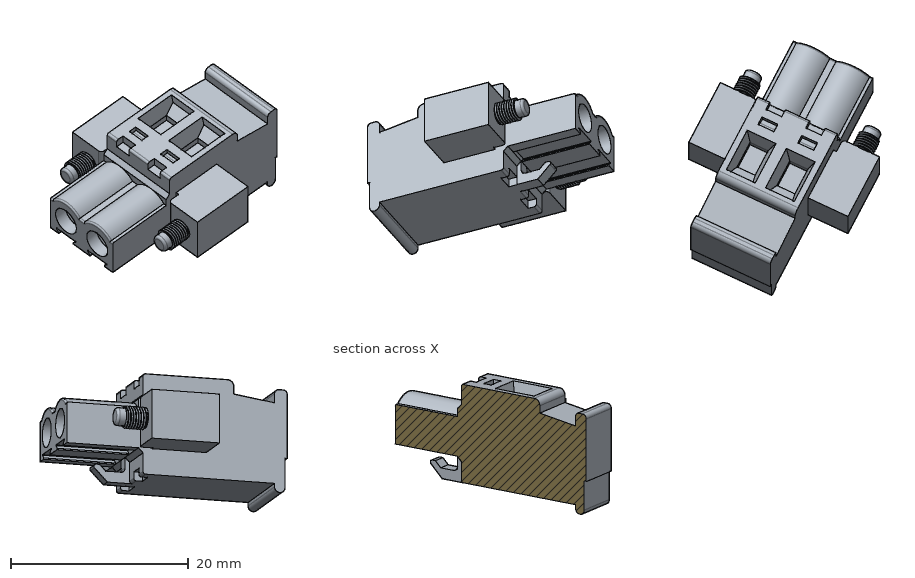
import cadquery as cq


LENGTH = 26.0
OVERALL_WIDTH = 20.0
HEIGHT = 12.6
POLE_PITCH = 5.0
BODY_WIDTH = 2 * POLE_PITCH
POLES = (-POLE_PITCH / 2, POLE_PITCH / 2)

SOCKET_LENGTH = 8.45
SOCKET_BOTTOM = 4.0
SOCKET_TOP = 9.65
SHOULDER_Z = 8.7
CONTACT_Z = 6.8
DOME_RADIUS = SOCKET_TOP - CONTACT_Z
SOCKET_EDGE_ROUND = 0.2
BORE_RADIUS = 1.66
BORE_DEPTH = 1.55
CONE_END_RADIUS = 0.78
CONE_DEPTH = 0.25

DOVETAIL_TOP_HALF = 1.53
DOVETAIL_MOUTH_HALF = 1.15
DOVETAIL_HEIGHT = 0.62
DOVETAIL_TOP_STRAIGHT = 0.08
DOVETAIL_MOUTH_STRAIGHT = 0.15

NECK_CHAMFER = 0.55
BODY_FRONT = SOCKET_LENGTH + NECK_CHAMFER
BODY_BOTTOM = 1.01
FRONT_EDGE_ROUND = 0.29
TOP_REAR = 19.7
TOP_REAR_ROUND = 0.75
SLOPE_HIGH_Z = 11.0
SLOPE_LOW_Z = 10.32
FLANGE_FRONT = 24.5
FLANGE_TOP = 11.88
FLANGE_TOP_ROUND = 0.52
FOOT_REAR = LENGTH - 0.25
FOOT_RADIUS = (FOOT_REAR - FLANGE_FRONT) / 2

NOTCH_WIDTH = 1.98
NOTCH_DEPTH = 1.01

FUNNEL_INNER_X = 0.65
FUNNEL_OUTER_X = 4.26
FUNNEL_FRONT = 13.18
FUNNEL_REAR = 18.43
FUNNEL_DEPTH = 1.82
FUNNEL_STEEP_DEPTH = 0.9
FUNNEL_STEEP_RUN = 0.08
WELL_WIDTH = 2.25
WELL_FRONT = 13.75
WELL_REAR = 17.03
WELL_DEPTH = 0.78

TEST_SLOT_WIDTH = 1.98
TEST_SLOT_FRONT = 11.02
TEST_SLOT_REAR = 12.0
TEST_SLOT_RAMP_START = 11.62
TEST_SLOT_DEPTH = 0.5
TEST_SLOT_RAMP_DROP = 0.18
TEST_SLOT_DRAFT = 0.08

LATCH_LEFT = -1.53
LATCH_RIGHT = -0.03
LATCH_FLOOR_Z = 2.25
LATCH_ROOT_ROUND = 0.52
LATCH_HEEL = 6.37
LATCH_RISE_START = 6.2
LATCH_TIP_Z = 3.0
LATCH_TIP_ROUND = 0.25

EAR_OUTER_X = OVERALL_WIDTH / 2
EAR_REAR = 16.43
EAR_GAP = 0.4
EAR_GAP_END = 10.04
EAR_INNER_ROUND = 0.47

SCREW_X = 7.5
THREAD_RADIUS = 1.27
THREAD_ROOT_RADIUS = 1.07
THREAD_TURNS = 8.4
THREAD_RIDGE_WIDTH = 0.25
THREAD_RIDGE_OVERLAP = 0.03
THREAD_END = 5.93
THREAD_PITCH = (SOCKET_LENGTH - THREAD_END) / THREAD_TURNS
SCREW_TIP_RADIUS = 1.01
SCREW_TIP_END = 4.9
SCREW_TIP_ROUND = 0.3


def box(x0, x1, y0, y1, z0, z1):
    return cq.Workplane("XY").box(x1 - x0, y1 - y0, z1 - z0, centered=False).translate((x0, y0, z0))


def extrude_along_x(outline, x0, x1):
    """Solid from an outline drawn in (Y, Z) on the YZ plane."""
    return outline.close().extrude(x1 - x0).translate((x0, 0, 0))


def extrude_along_y(outline, y0, y1):
    """Solid from an outline drawn in (X, Z)."""
    return outline.close().extrude(-(y1 - y0)).translate((0, y0, 0))


def main_body():
    outline = (
        cq.Workplane("YZ")
        .moveTo(SOCKET_LENGTH, SOCKET_BOTTOM)
        .lineTo(BODY_FRONT, SOCKET_BOTTOM - NECK_CHAMFER)
        .lineTo(BODY_FRONT, BODY_BOTTOM + FRONT_EDGE_ROUND)
        .radiusArc((BODY_FRONT + FRONT_EDGE_ROUND, BODY_BOTTOM), -FRONT_EDGE_ROUND)
        .lineTo(FLANGE_FRONT, BODY_BOTTOM)
        .lineTo(FLANGE_FRONT, FOOT_RADIUS)
        .threePointArc((FLANGE_FRONT + FOOT_RADIUS, 0), (FOOT_REAR, FOOT_RADIUS))
        .lineTo(FOOT_REAR, SOCKET_BOTTOM)
        .lineTo(LENGTH, SOCKET_BOTTOM)
        .lineTo(LENGTH, FLANGE_TOP - FLANGE_TOP_ROUND)
        .radiusArc((LENGTH - FLANGE_TOP_ROUND, FLANGE_TOP), -FLANGE_TOP_ROUND)
        .lineTo(FLANGE_FRONT + FLANGE_TOP_ROUND, FLANGE_TOP)
        .radiusArc((FLANGE_FRONT, FLANGE_TOP - FLANGE_TOP_ROUND), -FLANGE_TOP_ROUND)
        .lineTo(FLANGE_FRONT, SLOPE_LOW_Z)
        .lineTo(TOP_REAR, SLOPE_HIGH_Z)
        .lineTo(TOP_REAR, HEIGHT - TOP_REAR_ROUND)
        .radiusArc((TOP_REAR - TOP_REAR_ROUND, HEIGHT), -TOP_REAR_ROUND)
        .lineTo(BODY_FRONT + FRONT_EDGE_ROUND, HEIGHT)
        .radiusArc((BODY_FRONT, HEIGHT - FRONT_EDGE_ROUND), -FRONT_EDGE_ROUND)
        .lineTo(BODY_FRONT, SOCKET_TOP + NECK_CHAMFER)
        .lineTo(SOCKET_LENGTH, SOCKET_TOP)
    )
    return extrude_along_x(outline, -BODY_WIDTH / 2, BODY_WIDTH / 2)


def socket():
    """Rectangular base with one domed barrel over each contact, rounded along the front top edges."""
    base = box(-BODY_WIDTH / 2, BODY_WIDTH / 2, 0, SOCKET_LENGTH, SOCKET_BOTTOM, SHOULDER_Z)
    base = base.faces("<Y").edges(">Z").fillet(SOCKET_EDGE_ROUND)
    barrel = cq.Workplane("XZ").circle(DOME_RADIUS).extrude(-SOCKET_LENGTH)
    barrel = barrel.faces("<Y").edges().fillet(SOCKET_EDGE_ROUND)
    dome_space = box(
        -BODY_WIDTH / 2, BODY_WIDTH / 2, 0, SOCKET_LENGTH, SHOULDER_Z - SOCKET_EDGE_ROUND, SOCKET_TOP
    )
    for x in POLES:
        base = base.union(barrel.translate((x, 0, CONTACT_Z)).intersect(dome_space))
    return base


def contact_bore(x):
    """Round bore ending in a shallow cone with a flat centre."""
    cone_end = BORE_DEPTH + CONE_DEPTH
    profile = cq.Workplane("YZ").polyline([
        (0, 0),
        (0, -BORE_RADIUS),
        (BORE_DEPTH, -BORE_RADIUS),
        (cone_end, -CONE_END_RADIUS),
        (cone_end, 0),
    ])
    return profile.close().revolve(360, (0, 0, 0), (1, 0, 0)).translate((x, 0, CONTACT_Z))


def dovetail_slot(x):
    ceiling = SOCKET_BOTTOM + DOVETAIL_HEIGHT
    right_side = [
        (DOVETAIL_MOUTH_HALF, SOCKET_BOTTOM),
        (DOVETAIL_MOUTH_HALF, SOCKET_BOTTOM + DOVETAIL_MOUTH_STRAIGHT),
        (DOVETAIL_TOP_HALF, ceiling - DOVETAIL_TOP_STRAIGHT),
        (DOVETAIL_TOP_HALF, ceiling),
    ]
    left_side = [(-px, pz) for px, pz in reversed(right_side)]
    outline = cq.Workplane("XZ").polyline(right_side + left_side)
    return extrude_along_y(outline, 0, SOCKET_LENGTH).translate((x, 0, 0))


def edge_notches(x):
    """Square notches in the top and bottom front edges of the body."""
    x0 = x - NOTCH_WIDTH / 2
    x1 = x + NOTCH_WIDTH / 2
    y1 = BODY_FRONT + NOTCH_DEPTH
    top = box(x0, x1, BODY_FRONT, y1, HEIGHT - NOTCH_DEPTH, HEIGHT)
    bottom = box(x0, x1, BODY_FRONT, y1, BODY_BOTTOM, BODY_BOTTOM + NOTCH_DEPTH)
    return top.union(bottom)


def right_funnel():
    """Tapered screw opening over the right-hand pole, ending in a straight-sided well."""
    floor_z = HEIGHT - FUNNEL_DEPTH
    well_left = POLES[1] - WELL_WIDTH / 2
    well_right = POLES[1] + WELL_WIDTH / 2
    side = cq.Workplane("YZ").polyline([
        (FUNNEL_FRONT, HEIGHT),
        (WELL_FRONT, floor_z),
        (WELL_REAR, floor_z),
        (FUNNEL_REAR - FUNNEL_STEEP_RUN, HEIGHT - FUNNEL_STEEP_DEPTH),
        (FUNNEL_REAR, HEIGHT),
    ])
    across = cq.Workplane("XZ").polyline([
        (FUNNEL_INNER_X, HEIGHT),
        (well_left, floor_z),
        (well_right, floor_z),
        (FUNNEL_OUTER_X, HEIGHT),
    ])
    funnel = extrude_along_x(side, 0, BODY_WIDTH / 2).intersect(
        extrude_along_y(across, FUNNEL_FRONT, FUNNEL_REAR)
    )
    well = box(well_left, well_right, WELL_FRONT, WELL_REAR, floor_z - WELL_DEPTH, floor_z)
    return funnel.union(well)


def test_slot(x):
    """Shallow slot with drafted side walls, whose floor falls away towards the front."""
    floor_z = HEIGHT - TEST_SLOT_DEPTH
    ramp_end_z = floor_z - TEST_SLOT_RAMP_DROP
    half_width = TEST_SLOT_WIDTH / 2
    side = cq.Workplane("YZ").polyline([
        (TEST_SLOT_REAR, HEIGHT),
        (TEST_SLOT_REAR, floor_z),
        (TEST_SLOT_RAMP_START, floor_z),
        (TEST_SLOT_FRONT, ramp_end_z),
        (TEST_SLOT_FRONT, HEIGHT),
    ])
    across = cq.Workplane("XZ").polyline([
        (x - half_width, HEIGHT),
        (x - half_width + TEST_SLOT_DRAFT, ramp_end_z),
        (x + half_width - TEST_SLOT_DRAFT, ramp_end_z),
        (x + half_width, HEIGHT),
    ])
    return extrude_along_x(side, x - half_width, x + half_width).intersect(
        extrude_along_y(across, TEST_SLOT_FRONT, TEST_SLOT_REAR)
    )


def latch():
    """Hook reaching forward under the socket, with a 45 degree tip."""
    tip_y = LATCH_HEEL - (LATCH_TIP_Z - BODY_BOTTOM)
    shelf_to_tip = LATCH_TIP_Z - LATCH_FLOOR_Z
    outline = (
        cq.Workplane("YZ")
        .moveTo(SOCKET_LENGTH, SOCKET_BOTTOM)
        .lineTo(SOCKET_LENGTH, LATCH_FLOOR_Z + LATCH_ROOT_ROUND)
        .radiusArc((SOCKET_LENGTH - LATCH_ROOT_ROUND, LATCH_FLOOR_Z), LATCH_ROOT_ROUND)
        .lineTo(LATCH_RISE_START, LATCH_FLOOR_Z)
        .lineTo(LATCH_RISE_START - shelf_to_tip, LATCH_TIP_Z)
        .lineTo(tip_y, LATCH_TIP_Z)
        .lineTo(LATCH_HEEL, BODY_BOTTOM)
        .lineTo(EAR_GAP_END, BODY_BOTTOM)
        .lineTo(EAR_GAP_END, SOCKET_BOTTOM)
    )
    hook = extrude_along_x(outline, LATCH_LEFT, LATCH_RIGHT)
    tip_edge = cq.selectors.NearestToPointSelector(((LATCH_LEFT + LATCH_RIGHT) / 2, tip_y, LATCH_TIP_Z))
    return hook.edges(tip_edge).fillet(LATCH_TIP_ROUND)


def right_ear():
    """Screw flange block, relieved from the body at its front inner corner."""
    inner = BODY_WIDTH / 2
    outline = (
        cq.Workplane("XY")
        .moveTo(0, EAR_REAR)
        .lineTo(EAR_OUTER_X, EAR_REAR)
        .lineTo(EAR_OUTER_X, SOCKET_LENGTH)
        .lineTo(inner + EAR_GAP + EAR_INNER_ROUND, SOCKET_LENGTH)
        .radiusArc((inner + EAR_GAP, SOCKET_LENGTH + EAR_INNER_ROUND), EAR_INNER_ROUND)
        .lineTo(inner + EAR_GAP, EAR_GAP_END)
        .lineTo(0, EAR_GAP_END)
        .close()
    )
    return outline.extrude(SOCKET_TOP - SOCKET_BOTTOM).translate((0, 0, SOCKET_BOTTOM))


def screw(x):
    """Stud with a right-hand V thread and a plain rounded tip, pointing along -Y from the flange face."""
    thread_length = SOCKET_LENGTH - THREAD_END
    stud_length = SOCKET_LENGTH - SCREW_TIP_END
    core = cq.Workplane("XY").circle(THREAD_ROOT_RADIUS).extrude(thread_length)
    tip = cq.Workplane("XY").circle(SCREW_TIP_RADIUS).extrude(stud_length)
    tip = tip.faces(">Z").edges().fillet(SCREW_TIP_ROUND)

    ridge_half_width = THREAD_RIDGE_WIDTH / 2
    ridge_base = -THREAD_RIDGE_OVERLAP
    ridge_crest = THREAD_RADIUS - THREAD_ROOT_RADIUS
    helix = cq.Wire.makeHelix(THREAD_PITCH, thread_length + 2 * THREAD_PITCH, THREAD_ROOT_RADIUS)
    ridge = (
        cq.Workplane("XZ", origin=(THREAD_ROOT_RADIUS, 0, 0))
        .polyline([(ridge_base, -ridge_half_width), (ridge_crest, 0), (ridge_base, ridge_half_width)])
        .close()
        .sweep(cq.Workplane(obj=helix), isFrenet=True)
        .translate((0, 0, -THREAD_PITCH))
    )
    thread_space = cq.Workplane("XY").circle(2 * THREAD_RADIUS).extrude(thread_length)
    stud = core.union(ridge.intersect(thread_space)).union(tip)
    return stud.rotate((0, 0, 0), (1, 0, 0), 90).translate((x, SOCKET_LENGTH, CONTACT_Z))


ear = right_ear()
body = main_body().union(socket()).union(latch()).union(ear).union(ear.mirror("YZ"))

for pole_x in POLES:
    body = body.cut(contact_bore(pole_x))
    body = body.cut(dovetail_slot(pole_x))
    body = body.cut(edge_notches(pole_x))
    body = body.cut(test_slot(pole_x))

funnel = right_funnel()
body = body.cut(funnel).cut(funnel.mirror("YZ"))

for side in (-1, 1):
    body = body.union(screw(side * SCREW_X))

result = body.solids()